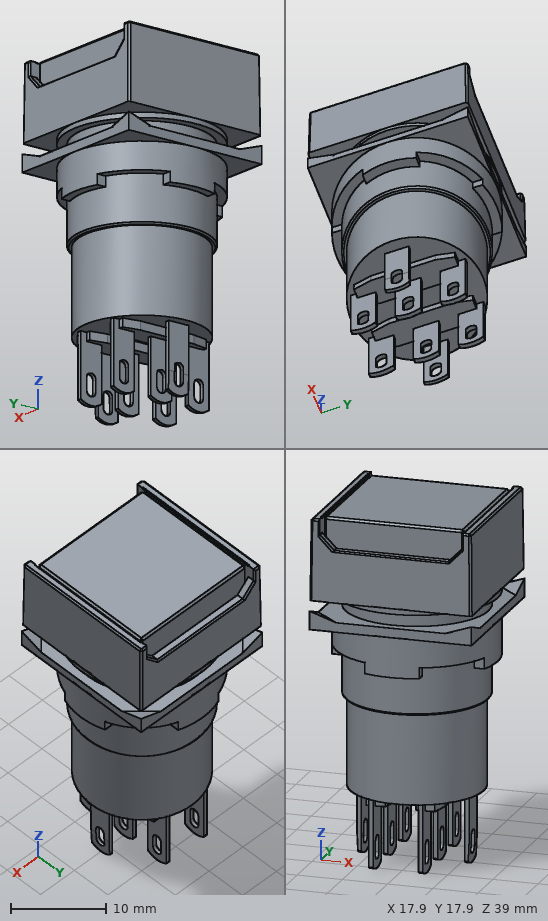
import cadquery as cq


overall_width = 17.9
overall_height = 39.0

bezel_bottom_z = 30.0
bezel_draft = 0.1
bezel_edge_chamfer = 0.2
bezel_corner_chamfer = 0.22
drum_bottom_z = 29.4

button_width = 15.5
button_chamfer = 0.25
button_gap = 0.15
recess_floor_z = 34.5
recess_edge_chamfer = 0.12

notch_floor_z = 35.7
notch_corner = 1.6
notch_edge_chamfer = 0.18

neck_radius = 7.9
neck_bottom_z = 18.0
neck_chamfer = 0.2
barrel_radius = 7.4
barrel_bottom_z = 8.0

ring_corner_z = 28.85
ring_plate_top_z = 27.85
ring_plate_bottom_z = 26.8
ring_corner_reach = 2.95
ring_skirt_bottom_z = 23.6
ring_tab_bottom_z = 22.4
ring_tab_width = 6.0

rail_positions_x = (-2.72, 2.78)
rail_width = 2.9
rail_length = 11.3
rail_height = 1.0
rail_end_length = 2.05
rail_end_inset = 0.4

terminal_thickness = 0.5
terminal_width = 2.8
terminal_tip_rise = 0.45
slot_width = 1.2
slot_length = 2.6
slot_center_z = 2.3
inner_terminal_x = (-3.0, 2.5)
inner_terminal_y = (-5.03, 0, 5.03)
outer_terminal_x = 5.95
outer_terminal_width = 2.7
thinning_start_z = 2.5
thinning = 0.12

half_width = overall_width / 2
bezel_top_width = overall_width - 2 * bezel_draft
recess_width = button_width + 2 * button_gap
bevel_depth = bezel_draft + notch_edge_chamfer


def cylinder(radius, bottom_z, top_z):
    return cq.Workplane("XY").workplane(offset=bottom_z).circle(radius).extrude(top_z - bottom_z)


def notch_profile(plane_y, growth):
    """Notch outline on the XZ plane at plane_y, grown outwards by growth on every side."""
    half = recess_width / 2 + growth
    floor_z = notch_floor_z - growth
    return (
        cq.Workplane("XZ", origin=(0, plane_y, 0))
        .moveTo(-half, overall_height)
        .lineTo(-half, floor_z + notch_corner)
        .lineTo(-half + notch_corner, floor_z)
        .lineTo(half - notch_corner, floor_z)
        .lineTo(half, floor_z + notch_corner)
        .lineTo(half, overall_height)
        .close()
    )


def make_bezel():
    bezel = (
        cq.Workplane("XY", origin=(0, 0, bezel_bottom_z))
        .rect(overall_width, overall_width)
        .workplane(offset=overall_height - bezel_bottom_z)
        .rect(bezel_top_width, bezel_top_width)
        .loft(ruled=True)
    )
    bezel = bezel.edges("not(|X or |Y)").chamfer(bezel_corner_chamfer)
    bezel = bezel.faces(">Z").edges().chamfer(bezel_edge_chamfer)
    recess = (
        cq.Workplane("XY", origin=(0, 0, recess_floor_z))
        .rect(recess_width, recess_width)
        .extrude(overall_height - recess_floor_z)
    )
    flare = (
        cq.Workplane("XY", origin=(0, 0, overall_height - recess_edge_chamfer))
        .rect(recess_width, recess_width)
        .extrude(recess_edge_chamfer, taper=-45)
    )
    bezel = bezel.cut(recess).cut(flare)
    return cut_notches(bezel)


def cut_notches(bezel):
    """Cut the notch through both walls and bevel its outer edges."""
    bezel = bezel.cut(notch_profile(half_width, 0).extrude(overall_width))
    inner_wire = notch_profile(-half_width + bevel_depth, 0).val()
    outer_wire = notch_profile(-half_width, notch_edge_chamfer).val()
    bevel = cq.Workplane(cq.Solid.makeLoft([inner_wire, outer_wire], True))
    return bezel.cut(bevel).cut(bevel.mirror("XZ"))


def make_terminal(center_x, center_y, width):
    """Flat blade with a rounded tip and a wire slot."""
    half = width / 2
    blade = (
        cq.Workplane("YZ", origin=(center_x - terminal_thickness / 2, center_y, 0))
        .moveTo(-half, barrel_bottom_z)
        .lineTo(-half, terminal_tip_rise)
        .threePointArc((0, 0), (half, terminal_tip_rise))
        .lineTo(half, barrel_bottom_z)
        .close()
        .extrude(terminal_thickness)
    )
    slot = (
        cq.Workplane("YZ", origin=(center_x, center_y, slot_center_z))
        .slot2D(slot_length, slot_width, 90)
        .extrude(terminal_thickness, both=True)
    )
    return blade.cut(slot)


def make_outer_terminal(side):
    """Terminal beside the barrel axis, thinned on its outward face towards the tip."""
    outward_face_x = side * (outer_terminal_x + terminal_thickness / 2)
    wedge = (
        cq.Workplane("XZ")
        .moveTo(outward_face_x, thinning_start_z)
        .lineTo(outward_face_x, 0)
        .lineTo(outward_face_x - side * thinning, 0)
        .close()
        .extrude(outer_terminal_width, both=True)
    )
    return make_terminal(side * outer_terminal_x, 0, outer_terminal_width).cut(wedge)


def make_rail(center_x):
    """Low rail along Y whose ends narrow on both sides."""
    half = rail_width / 2
    end_half = half - rail_end_inset
    end_y = rail_length / 2
    shoulder_y = end_y - rail_end_length
    return (
        cq.Workplane("XY", origin=(center_x, 0, barrel_bottom_z - rail_height))
        .polyline([
            (-half, -shoulder_y), (-end_half, -end_y), (end_half, -end_y), (half, -shoulder_y),
            (half, shoulder_y), (end_half, end_y), (-end_half, end_y), (-half, shoulder_y),
        ])
        .close()
        .extrude(rail_height)
    )


def make_housing():
    housing = make_bezel()
    housing = housing.union(cylinder(half_width, drum_bottom_z, bezel_bottom_z))
    neck = cylinder(neck_radius, neck_bottom_z, drum_bottom_z)
    housing = housing.union(neck.faces("<Z").edges().chamfer(neck_chamfer))
    housing = housing.union(cylinder(barrel_radius, barrel_bottom_z, neck_bottom_z))
    for rail_x in rail_positions_x:
        housing = housing.union(make_rail(rail_x))
    for terminal_x in inner_terminal_x:
        for terminal_y in inner_terminal_y:
            housing = housing.union(make_terminal(terminal_x, terminal_y, terminal_width))
    for side in (-1, 1):
        housing = housing.union(make_outer_terminal(side))
    return housing


def make_ring_plate():
    """Square plate whose four corners slope upwards along the diagonals."""
    plate = (
        cq.Workplane("XY", origin=(0, 0, ring_plate_bottom_z))
        .rect(overall_width, overall_width)
        .extrude(ring_plate_top_z - ring_plate_bottom_z)
    )
    for sign_x in (-1, 1):
        for sign_y in (-1, 1):
            plate = plate.union(make_corner_wedge(sign_x, sign_y))
    return plate


def make_corner_wedge(sign_x, sign_y):
    """Tetrahedron that raises one corner of the ring plate."""
    corner_x = sign_x * half_width
    corner_y = sign_y * half_width
    corner = cq.Vector(corner_x, corner_y, ring_plate_top_z)
    along_x = cq.Vector(corner_x - sign_x * ring_corner_reach, corner_y, ring_plate_top_z)
    along_y = cq.Vector(corner_x, corner_y - sign_y * ring_corner_reach, ring_plate_top_z)
    peak = cq.Vector(corner_x, corner_y, ring_corner_z)
    triangles = [
        (corner, along_x, along_y),
        (corner, along_x, peak),
        (corner, along_y, peak),
        (along_x, along_y, peak),
    ]
    faces = [
        cq.Face.makeFromWires(cq.Wire.makePolygon(list(points), close=True))
        for points in triangles
    ]
    return cq.Workplane(cq.Solid.makeSolid(cq.Shell.makeShell(faces)).fix())


def make_ring():
    tab_blank = cylinder(half_width, ring_tab_bottom_z, ring_skirt_bottom_z)
    cross = (
        cq.Workplane("XY", origin=(0, 0, ring_tab_bottom_z))
        .rect(ring_tab_width, overall_width)
        .extrude(ring_skirt_bottom_z - ring_tab_bottom_z)
    )
    cross = cross.union(cross.rotate((0, 0, 0), (0, 0, 1), 90))
    ring = make_ring_plate()
    ring = ring.union(cylinder(half_width, ring_skirt_bottom_z, ring_plate_bottom_z))
    ring = ring.union(tab_blank.intersect(cross))
    return ring.cut(cylinder(neck_radius, ring_tab_bottom_z, ring_corner_z))


def make_button():
    button = (
        cq.Workplane("XY", origin=(0, 0, recess_floor_z))
        .rect(button_width, button_width)
        .extrude(overall_height - recess_floor_z)
    )
    return button.edges("|Z or >Z").chamfer(button_chamfer)


housing = make_housing()
ring = make_ring()
button = make_button()

result = cq.Compound.makeCompound([housing.val(), ring.val(), button.val()])